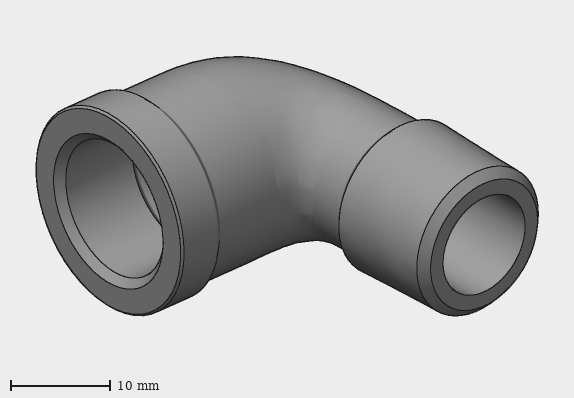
import cadquery as cq


corner_fillet = 0.25

socket_end = 24.0
collar_radius = 11.25
collar_length = 4.95
collar_edge_chamfer = 0.25
socket_radius = 21.0 / 2
socket_bore_radius = 14.95 / 2
socket_mouth_radius = 16.65 / 2
socket_mouth_chamfer = socket_mouth_radius - socket_bore_radius
socket_bore_end = 14.25
relief_radius = 17.0 / 2
relief_cone_length = relief_radius - socket_bore_radius

bend_start = 11.1
bend_end = 12.9
bend_fullness = 0.66
bend_sections = 9

spigot_end = 30.0
neck_radius = 15.0 / 2
spigot_start = 17.5
spigot_root_radius = 17.0 / 2
neck_end = spigot_start - (spigot_root_radius - neck_radius)
spigot_tip_radius = 16.35 / 2
spigot_chamfer = 1.0
spigot_bore_radius = 11.0 / 2

selection_margin = 0.05


def edge_centred_at(x, y):
    """Selector for the circular edge whose centre lies at (x, y) on a pipe axis."""
    low = (x - selection_margin, y - selection_margin, -selection_margin)
    high = (x + selection_margin, y + selection_margin, selection_margin)
    return cq.selectors.BoxSelector(low, high)


def bend_edge_point(start_x, end_y, t):
    """Point at t (0 to 1) on a cubic curve turning from +Y at the socket to +X at the spigot."""
    reach_y = end_y + bend_start
    reach_x = bend_end - start_x
    start = cq.Vector(start_x, -bend_start)
    start_handle = cq.Vector(start_x, -bend_start + bend_fullness * reach_y)
    end_handle = cq.Vector(bend_end - bend_fullness * reach_x, end_y)
    end = cq.Vector(bend_end, end_y)
    s = 1 - t
    return start * s**3 + start_handle * (3 * s**2 * t) + end_handle * (3 * s * t**2) + end * t**3


def make_bend(start_radius, end_radius):
    """Tapering elbow through ellipses that span its outer and inner edge curves."""
    sections = []
    for i in range(bend_sections):
        t = i / (bend_sections - 1)
        outer = bend_edge_point(-start_radius, end_radius, t)
        inner = bend_edge_point(start_radius, -end_radius, t)
        across = inner - outer
        along = cq.Vector(0, 0, 1).cross(across)
        plane = cq.Plane(origin=(outer + inner) * 0.5, xDir=across, normal=along)
        blend = 3 * t**2 - 2 * t**3
        half_height = start_radius + (end_radius - start_radius) * blend
        section = cq.Workplane(plane).ellipse(across.Length / 2, half_height)
        sections.append(cq.Wire.assembleEdges(section.vals()[0].Edges()))
    return cq.Workplane(cq.Solid.makeLoft(sections))


def make_socket():
    """Socket body with a collar that steps down through a 45 degree cone."""
    step_start = -socket_end + collar_length
    step_end = step_start + collar_radius - socket_radius
    profile = (
        cq.Workplane("XY")
        .moveTo(0, -socket_end)
        .lineTo(collar_radius - collar_edge_chamfer, -socket_end)
        .lineTo(collar_radius, -socket_end + collar_edge_chamfer)
        .lineTo(collar_radius, step_start)
        .lineTo(socket_radius, step_end)
        .lineTo(socket_radius, -bend_start)
        .lineTo(0, -bend_start)
        .close()
    )
    socket = profile.revolve(360, (0, 0), (0, 1))
    step_start_edge = edge_centred_at(0, step_start)
    step_end_edge = edge_centred_at(0, step_end)
    return socket.edges(step_start_edge + step_end_edge).fillet(corner_fillet)


def make_spigot():
    """Plain neck followed by a tapered spigot with a chamfered tip."""
    spigot = (
        cq.Workplane("XY")
        .moveTo(bend_end, 0)
        .lineTo(bend_end, neck_radius)
        .lineTo(neck_end, neck_radius)
        .lineTo(spigot_start, spigot_root_radius)
        .lineTo(spigot_end - spigot_chamfer, spigot_tip_radius)
        .lineTo(spigot_end, spigot_tip_radius - spigot_chamfer)
        .lineTo(spigot_end, 0)
        .close()
        .revolve(360, (0, 0), (1, 0))
    )
    return spigot.edges(edge_centred_at(neck_end, 0)).fillet(corner_fillet)


def make_socket_bore():
    """Socket bore with a chamfered mouth, widening through a cone to a relief ahead of the bend."""
    relief_cone_end = -socket_bore_end + relief_cone_length
    bore = (
        cq.Workplane("XY")
        .moveTo(0, -socket_end)
        .lineTo(socket_mouth_radius, -socket_end)
        .lineTo(socket_bore_radius, -socket_end + socket_mouth_chamfer)
        .lineTo(socket_bore_radius, -socket_bore_end)
        .lineTo(relief_radius, relief_cone_end)
        .lineTo(relief_radius, -bend_start)
        .lineTo(0, -bend_start)
        .close()
        .revolve(360, (0, 0), (0, 1))
    )
    return bore.edges(edge_centred_at(0, relief_cone_end)).fillet(corner_fillet)


def make_spigot_bore():
    """Straight bore through the neck and spigot."""
    bore = cq.Workplane("YZ", origin=(bend_end, 0, 0)).circle(spigot_bore_radius)
    return bore.extrude(spigot_end - bend_end)


outside = make_bend(socket_radius, neck_radius).union(make_socket()).union(make_spigot())
passage = make_bend(relief_radius, spigot_bore_radius)
passage = passage.union(make_socket_bore()).union(make_spigot_bore())
result = outside.cut(passage)